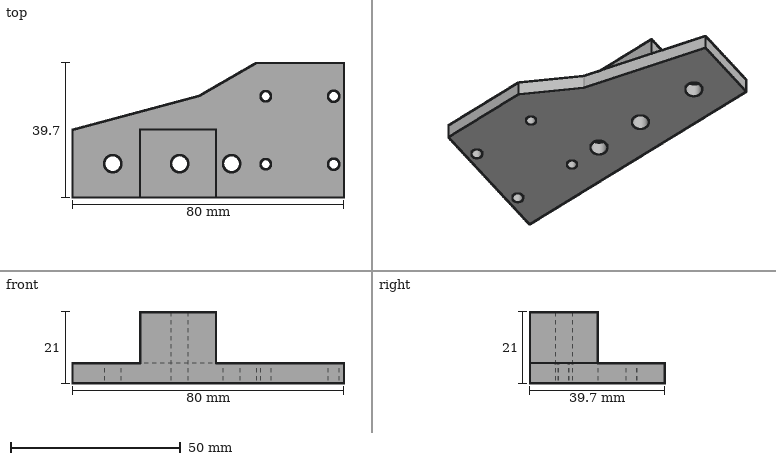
import cadquery as cq
import math

plate_length = 80.0
plate_width = 39.7
plate_thickness = 6.0

left_edge_width = 20.0
slope_break_y = 30.0
shallow_slope_angle = math.radians(15)
steep_slope_angle = math.radians(30)
slope_break_x = (slope_break_y - left_edge_width) / math.tan(shallow_slope_angle)
back_edge_start_x = slope_break_x + (plate_width - slope_break_y) / math.tan(steep_slope_angle)

block_start_x = 19.9
block_length = 22.4
block_width = left_edge_width
total_height = 21.0

large_hole_diameter = 5.0
large_hole_y = block_width / 2
large_hole_xs = (11.85, 31.55, 46.85)

small_hole_pitch = 20.0
inner_hole_diameter = 3.0
outer_hole_diameter = 3.25
inner_hole_x = 56.9
outer_hole_x = inner_hole_x + small_hole_pitch
small_hole_front_y = (plate_width - small_hole_pitch) / 2
small_hole_ys = (small_hole_front_y, small_hole_front_y + small_hole_pitch)


def make_plate():
    outline = [
        (0, 0),
        (plate_length, 0),
        (plate_length, plate_width),
        (back_edge_start_x, plate_width),
        (slope_break_x, slope_break_y),
        (0, left_edge_width),
    ]
    return cq.Workplane("XY").polyline(outline).close().extrude(plate_thickness)


def make_block():
    return (
        cq.Workplane("XY")
        .box(block_length, block_width, total_height, centered=False)
        .translate((block_start_x, 0, 0))
    )


def make_holes(diameter, centres):
    """Vertical cutters running through the full height of the part."""
    return cq.Workplane("XY").pushPoints(centres).circle(diameter / 2).extrude(total_height)


large_holes = make_holes(large_hole_diameter, [(x, large_hole_y) for x in large_hole_xs])
inner_holes = make_holes(inner_hole_diameter, [(inner_hole_x, y) for y in small_hole_ys])
outer_holes = make_holes(outer_hole_diameter, [(outer_hole_x, y) for y in small_hole_ys])

result = make_plate().union(make_block()).cut(large_holes).cut(inner_holes).cut(outer_holes)